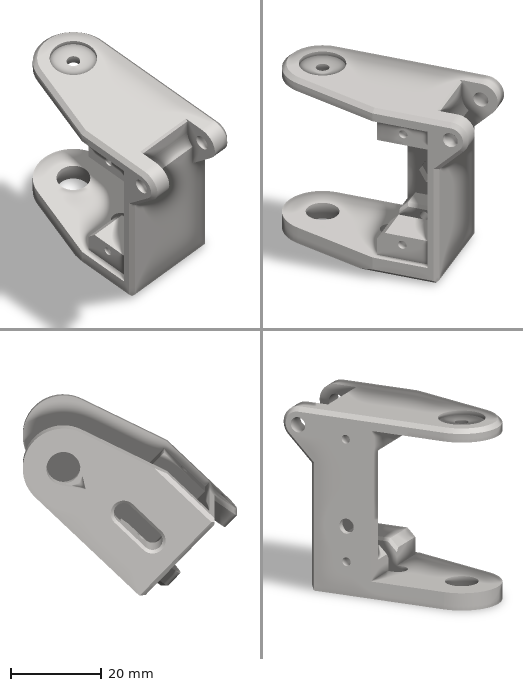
import cadquery as cq
import math

length = 49.0
width = 24.0
height = 42.0
edge_chamfer = 1.0

pivot_radius = 9.0
pivot_x = pivot_radius
pivot_y = width - pivot_radius
taper_end_x = 26.5
bottom_thickness = 4.0
top_thickness = 3.0
top_plate_z = height - top_thickness

back_wall_inner_x = 39.6
back_wall_outer_x = 42.05
side_wall_start_x = 27.0
side_wall_inner_y = 20.55
block_front_y = 1.5
bottom_block_top_z = 10.0
top_block_bottom_z = 33.45
block_chamfer = 1.9

ear_radius = 4.0
ear_x = length - ear_radius
ear_z = height - ear_radius
ear_hole_diameter = 3.55
ear_gap_start_y = 4.7
ear_gap_end_y = 19.1
ear_clearance_radius = 4.5
gap_lip_chamfer = 0.5

top_pivot_diameter = 3.05
top_recess_diameter = 10.55
top_recess_depth = 1.0
bottom_pivot_diameter = 7.5
horn_pocket_depth = 2.0
horn_pocket_half_angle = 33.0

slot_width = 4.4
slot_y = 13.05
slot_front_x = 25.7
slot_back_x = 34.55
slot_chamfer = 0.7

screw_diameter = 2.0
top_screw = (33.2, 36.2)
bottom_screw = (33.05, 7.8)
bolt = (33.05, 16.0)
bolt_diameter = 3.55
nut_across_flats = 5.6
nut_depth = 2.0


def box(x0, x1, y0, y1, z0, z1):
    return cq.Workplane("XY").box(x1 - x0, y1 - y0, z1 - z0, centered=False).translate((x0, y0, z0))


def cylinder_z(x, y, diameter, z0, z1):
    return cq.Workplane("XY", origin=(x, y, z0)).circle(diameter / 2).extrude(z1 - z0)


def along_y(y0):
    """Workplane in X and Z at y0; a negative extrusion runs toward +Y."""
    return cq.Workplane("XZ", origin=(0, y0, 0))


def hole_y(x, z, diameter):
    return along_y(0).center(x, z).circle(diameter / 2).extrude(-width)


def plan_prism():
    """Plan outline: rounded pivot end, straight back edge and tapered front edge."""
    corner_dx = taper_end_x - pivot_x
    corner_angle = math.atan2(-pivot_y, corner_dx)
    tangent_angle = corner_angle - math.acos(pivot_radius / math.hypot(corner_dx, pivot_y))
    tangent = (
        pivot_x + pivot_radius * math.cos(tangent_angle),
        pivot_y + pivot_radius * math.sin(tangent_angle),
    )
    return (
        cq.Workplane("XY")
        .moveTo(pivot_x, width)
        .threePointArc((0, pivot_y), tangent)
        .lineTo(taper_end_x, 0)
        .lineTo(length, 0)
        .lineTo(length, width)
        .close()
        .extrude(height)
    )


def side_prism():
    """Side outline: full block with the rounded ear and its 45 degree underside."""
    diagonal = ear_radius * math.sqrt(0.5)
    ear_tangent = (ear_x + diagonal, ear_z - diagonal)
    diagonal_end_z = ear_tangent[1] - (ear_tangent[0] - back_wall_outer_x)
    return (
        along_y(0)
        .lineTo(back_wall_outer_x, 0)
        .lineTo(back_wall_outer_x, diagonal_end_z)
        .lineTo(*ear_tangent)
        .threePointArc(
            (ear_x + ear_radius * math.cos(math.pi / 8), ear_z + ear_radius * math.sin(math.pi / 8)),
            (ear_x, height),
        )
        .lineTo(0, height)
        .close()
        .extrude(-width)
    )


def chamfered_envelope():
    envelope = plan_prism().intersect(side_prism())

    rim = []
    for edge in envelope.edges().vals():
        middle = edge.positionAt(0.5)
        on_side = min(middle.y, width - middle.y) < 0.005
        on_top = middle.z > height - 0.005
        on_top_rim = on_top and middle.x < ear_x - 0.005
        on_back_profile = on_side and middle.x > back_wall_outer_x - 0.005 and middle.z > 0.005
        if on_top_rim or on_back_profile:
            rim.append(edge)
    envelope = envelope.newObject(rim).chamfer(edge_chamfer)

    front_bevel = (
        cq.Workplane("YZ")
        .polyline([(0, 0), (edge_chamfer, 0), (0, edge_chamfer)])
        .close()
        .extrude(length)
    )
    back_bevel = (
        along_y(0)
        .moveTo(back_wall_outer_x, 0)
        .lineTo(back_wall_outer_x - edge_chamfer, 0)
        .lineTo(back_wall_outer_x, edge_chamfer)
        .close()
        .extrude(-width)
    )
    return envelope.cut(front_bevel).cut(back_bevel)


def interior():
    """Space between the plates, leaving the side wall and the two blocks."""
    space = box(0, back_wall_inner_x, 0, width, bottom_thickness, top_plate_z)
    side_wall = box(side_wall_start_x, back_wall_inner_x, side_wall_inner_y, width, 0, height)
    top_block = box(side_wall_start_x, back_wall_inner_x, block_front_y, width, top_block_bottom_z, height)
    return space.cut(side_wall).cut(top_block).cut(bottom_block())


def bottom_block():
    """Block with a bevelled leading edge and a cable slot with a chamfered mouth."""
    block = (
        along_y(block_front_y)
        .moveTo(side_wall_start_x, 0)
        .lineTo(back_wall_inner_x, 0)
        .lineTo(back_wall_inner_x, bottom_block_top_z)
        .lineTo(side_wall_start_x + block_chamfer, bottom_block_top_z)
        .lineTo(side_wall_start_x, bottom_block_top_z - block_chamfer)
        .close()
        .extrude(block_front_y - side_wall_inner_y)
        .cut(slot_outline(slot_width).extrude(bottom_block_top_z))
    )
    mouth = []
    for edge in block.edges().vals():
        middle = edge.positionAt(0.5)
        beside_slot = abs(middle.y - slot_y) < slot_width / 2 + 0.005
        before_slot_end = middle.x < slot_back_x + slot_width / 2 + 0.005
        bounds = edge.BoundingBox()
        touches_top = bounds.zmax > bottom_block_top_z - 0.005
        upright = bounds.zmin < 0.005
        if beside_slot and before_slot_end and touches_top and not upright:
            mouth.append(edge)
    return block.newObject(mouth).chamfer(slot_chamfer)


def slot_outline(outline_width):
    return (
        cq.Workplane("XY")
        .center((slot_front_x + slot_back_x) / 2, slot_y)
        .slot2D(slot_back_x - slot_front_x + outline_width, outline_width)
    )


def cable_slot():
    """Upright slot, flared at 45 degrees where it leaves the underside."""
    flare = slot_outline(slot_width + 2 * slot_chamfer).extrude(slot_chamfer, taper=45)
    return slot_outline(slot_width).extrude(bottom_block_top_z).union(flare)


def ear_gap():
    """Clearance between the ears: round below the hinge axis, straight above it."""
    gap_width = ear_gap_end_y - ear_gap_start_y
    gap_x = ear_x - ear_clearance_radius
    swing = along_y(ear_gap_start_y).center(ear_x, ear_z).circle(ear_clearance_radius).extrude(-gap_width)
    opening = box(gap_x, length, ear_gap_start_y, ear_gap_end_y, ear_z, height)
    beyond_wall = box(back_wall_outer_x, length, ear_gap_start_y, ear_gap_end_y, 0, height)
    lip = (
        along_y(ear_gap_start_y)
        .moveTo(gap_x, height)
        .lineTo(gap_x - gap_lip_chamfer, height)
        .lineTo(gap_x, height - gap_lip_chamfer)
        .close()
        .extrude(-gap_width)
    )
    return swing.union(opening).union(beyond_wall).union(lip)


def horn_pocket():
    """Pocket under the bottom plate, tapering from the pivot hole to a point."""
    radius = bottom_pivot_diameter / 2
    half_angle = math.radians(horn_pocket_half_angle)
    tangent_dx = radius * math.sin(half_angle)
    tangent_dy = radius * math.cos(half_angle)
    return (
        cq.Workplane("XY", origin=(pivot_x, pivot_y, 0))
        .moveTo(tangent_dx, tangent_dy)
        .threePointArc((-radius, 0), (tangent_dx, -tangent_dy))
        .lineTo(radius / math.sin(half_angle), 0)
        .close()
        .extrude(horn_pocket_depth)
    )


def nut_trap():
    across_corners = nut_across_flats / math.cos(math.pi / 6)
    return along_y(side_wall_inner_y).center(*bolt).polygon(6, across_corners).extrude(-nut_depth)


result = chamfered_envelope().cut(interior()).cut(cable_slot()).cut(ear_gap())

result = result.cut(cylinder_z(pivot_x, pivot_y, top_pivot_diameter, top_plate_z, height))
result = result.cut(cylinder_z(pivot_x, pivot_y, top_recess_diameter, height - top_recess_depth, height))
result = result.cut(cylinder_z(pivot_x, pivot_y, bottom_pivot_diameter, 0, bottom_thickness))
result = result.cut(horn_pocket())

for x, z, diameter in [
    (*top_screw, screw_diameter),
    (*bottom_screw, screw_diameter),
    (*bolt, bolt_diameter),
    (ear_x, ear_z, ear_hole_diameter),
]:
    result = result.cut(hole_y(x, z, diameter))
result = result.cut(nut_trap())